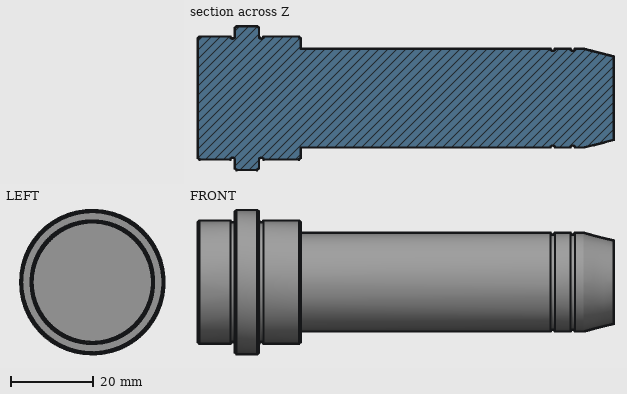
import cadquery as cq

total_length = 101.0
head_diameter = 30.0
flange_diameter = 35.0
shaft_diameter = 24.0

head_length = 25.0
head_chamfer = 0.5

flange_start = 9.0
flange_width = 6.0
flange_chamfer = 0.5

groove_width = 1.0
first_tip_groove = 86.2
tip_groove_spacing = 4.8

taper_length = 7.3
tip_diameter = 20.3


def cylinder(start, length, diameter):
    """Solid cylinder along +X, beginning at X = start."""
    return cq.Workplane("YZ", origin=(start, 0, 0)).circle(diameter / 2).extrude(length)


def make_head():
    return cylinder(0, head_length, head_diameter).edges().chamfer(head_chamfer)


def make_flange():
    return cylinder(flange_start, flange_width, flange_diameter).edges().chamfer(flange_chamfer)


def make_shaft():
    """Shaft running through the head, with a tapered tip."""
    shaft_radius = shaft_diameter / 2
    profile = (
        cq.Workplane("XY")
        .lineTo(0, shaft_radius)
        .lineTo(total_length - taper_length, shaft_radius)
        .lineTo(total_length, tip_diameter / 2)
        .lineTo(total_length, 0)
        .close()
    )
    return profile.revolve(360, (0, 0, 0), (1, 0, 0))


def groove_cutter(center, diameter):
    """Ring of round section, centred on a surface of the given diameter."""
    section = cq.Workplane("XY").center(center, diameter / 2).circle(groove_width / 2)
    return section.revolve(360, (0, -diameter / 2, 0), (1, -diameter / 2, 0))


head = make_head()
flange_end = flange_start + flange_width
for center in (flange_start - groove_width / 2, flange_end + groove_width / 2):
    head = head.cut(groove_cutter(center, head_diameter))

shaft = make_shaft()
for center in (first_tip_groove, first_tip_groove + tip_groove_spacing):
    shaft = shaft.cut(groove_cutter(center, shaft_diameter))

result = head.union(make_flange()).union(shaft)